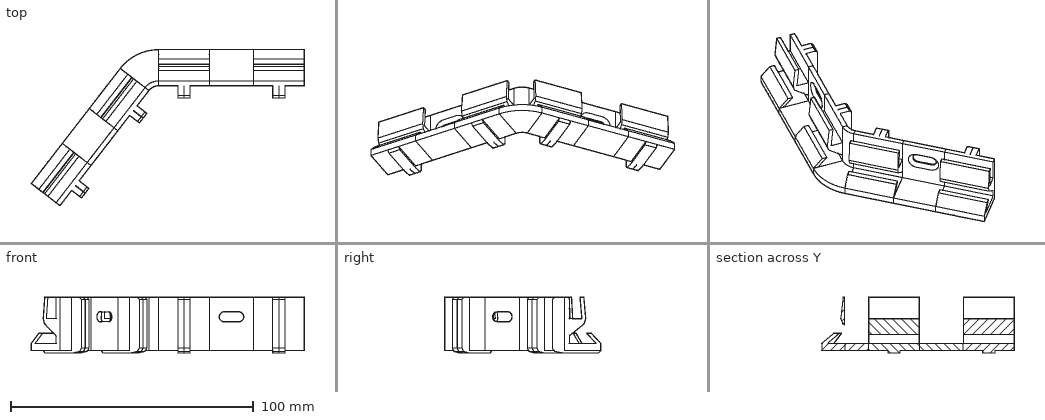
import cadquery as cq
import math


overall_length = 112.5
turn_angle = 52.3
depth = 15.0
wall_height = 22.1
wall_thickness = 2.0
floor_thickness = 3.0
inner_radius = 5.1

outer_radius = inner_radius + depth
turn = math.radians(turn_angle)
arm_length = (overall_length - outer_radius * math.sin(turn)) / (1 + math.cos(turn))
clip_length = 20.9
middle_length = arm_length - 2 * clip_length
wall_depth = depth - wall_thickness

lip_rise = 4.2
lip_run = 3.9
lip_width = 2.0

hook_root_height = 6.1
hook_knee_height = 11.0
hook_slot_floor = 13.2
hook_top_depth = 7.0
hook_knee_depth = 6.9
hook_bulge_depth = 6.2
hook_thickness = 1.7

rib_width = 5.1
rib_drop = 1.0
rib_reach = 5.1
rib_top_chamfer = 1.0
rib_bottom_chamfer_run = 1.0
rib_bottom_chamfer_rise = 1.4
rib_underside_rise = 0.7
rib_slit_width = 0.06

slot_length = 10.0
slot_width = 4.0
slot_height = 14.0
countersink_width = 7.1


def profile(points):
    """Closed outline in the plane across an arm, from (depth, height) pairs."""
    placed = [(outer_radius - d, z) for d, z in points]
    return cq.Workplane("YZ").polyline(placed).close()


def l_profile():
    """Floor and wall outline shared by the middle plates and the bend."""
    return profile([
        (0, 0),
        (depth, 0),
        (depth, wall_height),
        (wall_depth, wall_height),
        (wall_depth, floor_thickness),
        (0, floor_thickness),
    ])


def make_rib():
    """L-shaped rib along the middle of a clip, split by a thin slit outside the wall."""
    tip = depth + rib_reach
    chamfer_start = tip - rib_bottom_chamfer_run
    chamfer_bottom = rib_underside_rise - rib_drop
    rib = profile([
        (0, 0),
        (rib_drop, -rib_drop),
        (depth, -rib_drop),
        (chamfer_start, chamfer_bottom),
        (tip, chamfer_bottom + rib_bottom_chamfer_rise),
        (tip, wall_height - rib_top_chamfer),
        (tip - rib_top_chamfer, wall_height),
        (wall_depth, wall_height),
        (wall_depth, 0),
    ]).extrude(rib_width / 2, both=True)
    slit = (
        cq.Workplane("XY")
        .box(rib_slit_width, rib_reach, wall_height + rib_drop, centered=(True, False, False))
        .translate((0, inner_radius - rib_reach, -rib_drop))
    )
    return rib.cut(slit).translate((clip_length / 2, 0, 0))


def make_clip():
    """Clip: floor with a sloped lip, and a wall with a hook and an outside rib."""
    lip_top = floor_thickness + lip_rise
    body = profile([
        (0, 0),
        (depth, 0),
        (depth, wall_height),
        (wall_depth, wall_height),
        (wall_depth, hook_slot_floor),
        (hook_bulge_depth + hook_thickness, hook_slot_floor),
        (hook_top_depth + hook_thickness, wall_height),
        (hook_top_depth, wall_height),
        (hook_bulge_depth, hook_slot_floor),
        (hook_knee_depth, hook_knee_height),
        (wall_depth, hook_root_height),
        (wall_depth, floor_thickness),
        (lip_width, floor_thickness),
        (lip_width + lip_run, lip_top),
        (lip_run, lip_top),
        (0, floor_thickness),
    ]).extrude(clip_length)
    return body.union(make_rib()).solids()


def make_middle():
    """Middle plate: floor and wall, with a screw slot countersunk from the inside."""
    plate = l_profile().extrude(middle_length)
    wall_inside = cq.Workplane("XZ", origin=(middle_length / 2, inner_radius + wall_thickness, slot_height))
    countersink_depth = (countersink_width - slot_width) / 2
    countersink_length = slot_length + countersink_width - slot_width
    hole = wall_inside.slot2D(slot_length, slot_width).extrude(wall_thickness)
    countersink = wall_inside.slot2D(countersink_length, countersink_width).extrude(
        countersink_depth, taper=45
    )
    return plate.cut(hole).cut(countersink).solids()


def make_bend():
    """Bend: the floor and wall outline turned about the Z axis."""
    return l_profile().revolve(turn_angle, (0, 0, 0), (0, 1, 0))


clip_offsets = [0, clip_length + middle_length]
arms = [(0, 0), (-arm_length, turn_angle)]

clips = []
middles = []
for arm_start, arm_angle in arms:
    for offset in clip_offsets:
        clip = make_clip().translate((arm_start + offset, 0, 0))
        clips.append(clip.rotate((0, 0, 0), (0, 0, 1), arm_angle).val())
    middle = make_middle().translate((arm_start + clip_length, 0, 0))
    middles.append(middle.rotate((0, 0, 0), (0, 0, 1), arm_angle).val())

bend = make_bend().val()

result = cq.Compound.makeCompound([bend, *middles, *clips])